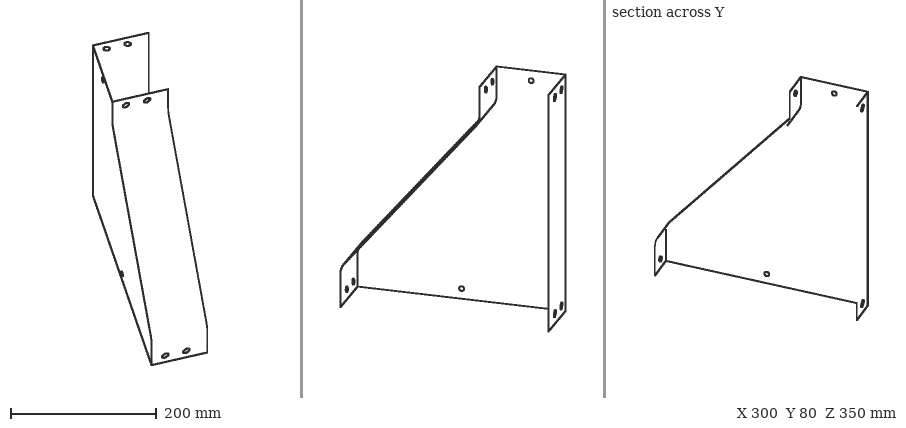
import cadquery as cq
import math

width = 300.0
depth = 80.0
height = 350.0
sheet = 0.8

neck_width = 100.0
neck_height = 52.0
foot_height = 58.5
upper_bend_radius = 23.5
lower_bend_radius = 26.5

hole_diameter = 7.0
edge_distance = 15.0
slot_width = 7.0
slot_length = 10.5
slot_angle = 45.0
slot_depth_positions = (20.0, 50.0)

slot_heights = (edge_distance, height - edge_distance)
slope_run = width - neck_width
slope_rise = height - neck_height - foot_height
slope_tilt = math.atan2(slope_run, slope_rise)


def side_region(inset):
    """Solid left of the sloping side, moved inward by inset, from the bottom to the top edge."""
    drop = inset * math.tan(slope_tilt / 2)
    neck_x = neck_width - inset
    foot_x = width - inset
    upper_z = height - neck_height - drop
    lower_z = foot_height - drop
    upper_corner = cq.selectors.NearestToPointSelector((neck_x, depth / 2, upper_z))
    lower_corner = cq.selectors.NearestToPointSelector((foot_x, depth / 2, lower_z))
    block = (
        cq.Workplane("XZ")
        .moveTo(0, 0)
        .lineTo(foot_x, 0)
        .lineTo(foot_x, lower_z)
        .lineTo(neck_x, upper_z)
        .lineTo(neck_x, height)
        .lineTo(0, height)
        .close()
        .extrude(-depth)
    )
    block = block.edges(upper_corner).fillet(upper_bend_radius + inset)
    return block.edges(lower_corner).fillet(lower_bend_radius - inset)


def channel():
    """Front plate with a straight left wall and a bent right wall, open at top, bottom and back."""
    room = cq.Workplane("XY").box(width, depth, height, centered=False).translate((sheet, sheet, 0))
    hollow = side_region(sheet).intersect(room)
    return side_region(0).cut(hollow)


def front_holes():
    """Round holes through the front plate, centered across each end."""
    centers = [
        (neck_width / 2, height - edge_distance),
        (width / 2, edge_distance),
    ]
    return cq.Workplane("XZ").pushPoints(centers).circle(hole_diameter / 2).extrude(-2 * sheet)


def wall_slot(wall_x, y, z, angle):
    """Slot cutter through the wall whose outer face is near wall_x, tilted in the YZ plane."""
    return (
        cq.Workplane("YZ", origin=(wall_x, y, z))
        .slot2D(slot_length, slot_width, angle)
        .extrude(2 * sheet, both=True)
    )


result = channel().cut(front_holes())
for slot_z, right_wall_x in zip(slot_heights, (width, neck_width)):
    for slot_y in slot_depth_positions:
        result = result.cut(wall_slot(0, slot_y, slot_z, -slot_angle))
        result = result.cut(wall_slot(right_wall_x, slot_y, slot_z, slot_angle))